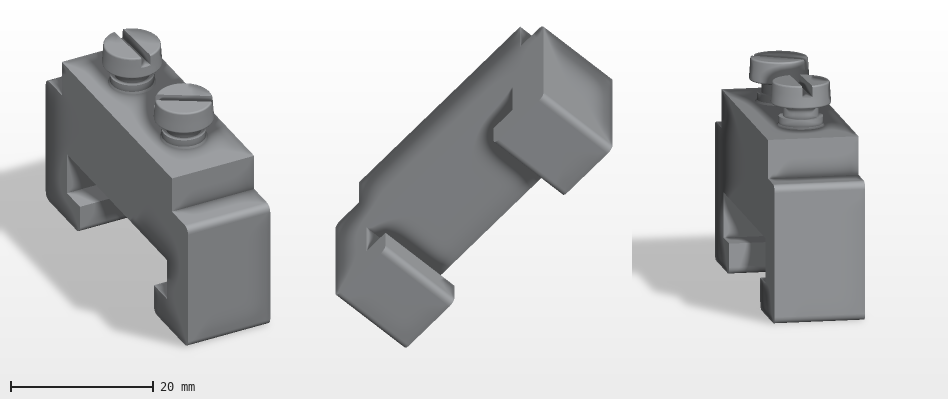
import cadquery as cq

LENGTH = 44.0
DEPTH = 13.0
HEIGHT = 31.9
SHOULDER_Z = 19.98
BODY_TOP_Z = 25.5
TOP_LENGTH = 34.05
CORNER_RADIUS = 1.0

CHANNEL_WIDTH = 30.9
CHANNEL_TOP_Z = 11.0
LIP_Z = 4.5
MOUTH_WIDTH = 22.9

SCREW_SPACING = 16.0
COLLAR_RADIUS = 3.12
COLLAR_TOP_Z = 26.85
FLARE = 0.25
EMBED = 0.45
NECK_RADIUS = 2.5
HEAD_BOTTOM_Z = 28.65
HEAD_BOTTOM_RADIUS = 4.25
HEAD_TOP_RADIUS = 4.05
HEAD_ROUNDING = 0.25
SLOT_WIDTH = 1.45
SLOT_DEPTH = 1.6
LEFT_SLOT_ANGLE = 2.0
RIGHT_SLOT_ANGLE = 60.0


def centred_box(length, z_bottom, z_top):
    """Full-depth box centred on X and Y between two heights."""
    box = cq.Workplane("XY").box(length, DEPTH, z_top - z_bottom, centered=(True, True, False))
    return box.translate((0, 0, z_bottom))


def make_body():
    body = centred_box(LENGTH, 0, SHOULDER_Z).edges("|Y").fillet(CORNER_RADIUS)
    body = body.union(centred_box(TOP_LENGTH, CHANNEL_TOP_Z, BODY_TOP_Z))
    mouth = centred_box(MOUTH_WIDTH, 0, LIP_Z)
    channel = centred_box(CHANNEL_WIDTH, LIP_Z, CHANNEL_TOP_Z)
    body = body.cut(mouth).cut(channel)

    for side in (-1, 1):
        lip_corner = cq.NearestToPointSelector((side * MOUTH_WIDTH / 2, 0, 0))
        body = body.edges(lip_corner).fillet(CORNER_RADIUS)
    return body


def make_screw(x, slot_angle):
    """Collar and neck below a tapered, slotted head."""
    shank = (
        cq.Workplane("XZ")
        .moveTo(0, BODY_TOP_Z - EMBED)
        .lineTo(COLLAR_RADIUS + FLARE, BODY_TOP_Z - EMBED)
        .lineTo(COLLAR_RADIUS + FLARE, BODY_TOP_Z)
        .lineTo(COLLAR_RADIUS, BODY_TOP_Z + FLARE)
        .lineTo(COLLAR_RADIUS, COLLAR_TOP_Z)
        .lineTo(NECK_RADIUS, COLLAR_TOP_Z)
        .lineTo(NECK_RADIUS, HEAD_BOTTOM_Z)
        .lineTo(0, HEAD_BOTTOM_Z)
        .close()
        .revolve(360, (0, 0), (0, 1))
    )
    head = (
        cq.Workplane("XY", origin=(0, 0, HEAD_BOTTOM_Z))
        .circle(HEAD_BOTTOM_RADIUS)
        .workplane(offset=HEIGHT - HEAD_BOTTOM_Z)
        .circle(HEAD_TOP_RADIUS)
        .loft()
        .faces("<Z or >Z")
        .edges()
        .fillet(HEAD_ROUNDING)
    )
    slot = (
        cq.Workplane("XY", origin=(0, 0, HEIGHT - SLOT_DEPTH))
        .rect(2 * HEAD_BOTTOM_RADIUS, SLOT_WIDTH)
        .extrude(SLOT_DEPTH)
        .rotate((0, 0, 0), (0, 0, 1), slot_angle)
    )
    return shank.union(head.cut(slot)).translate((x, 0, 0))


result = make_body()
for x, angle in (
    (-SCREW_SPACING / 2, LEFT_SLOT_ANGLE),
    (SCREW_SPACING / 2, RIGHT_SLOT_ANGLE),
):
    result = result.union(make_screw(x, angle))